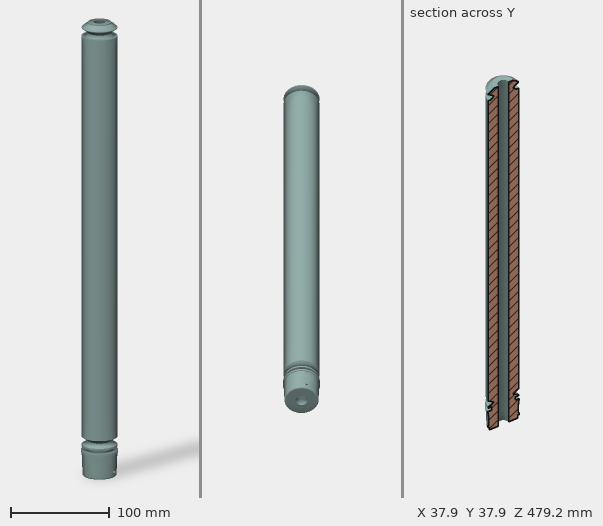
import cadquery as cq

length = 479.2
tube_radius = 18.0
tube_bottom = 41.0
tube_top = 465.0

neck_radius = 11.5
shoulder_radius = 15.1
upper_neck_z = 468.0
cap_rim_z = 473.5
rim_rounding = 1.0
cap_step_height = 1.0
cap_flat_radius = 12.0
cap_bulge_radius = 15.5
cap_bulge_z = 476.5

lower_neck_z = 37.0
collar_top = 33.0
collar_bottom = 31.0
groove_radius = 14.0

flange_radius = 18.95
flange_top = 27.5
flange_thickness = 2.5
foot_top_radius = 18.0
foot_bottom_radius = 17.3
foot_edge_fillet = 1.5
pin_diameter = 3.0
pin_z = 5.8

bore_diameter = 12.0


def turned_body():
    """Revolve the half profile of the roller about Z."""
    flange_bottom = flange_top - flange_thickness
    profile = (
        cq.Workplane("XZ")
        .moveTo(0, 0)
        .lineTo(foot_bottom_radius, 0)
        .lineTo(foot_top_radius, flange_bottom)
        .lineTo(flange_radius, flange_bottom)
        .lineTo(flange_radius, flange_top)
        .lineTo(groove_radius, flange_top)
        .lineTo(groove_radius, collar_bottom)
        .lineTo(tube_radius, collar_bottom)
        .lineTo(tube_radius, collar_top)
        .lineTo(neck_radius, lower_neck_z)
        .lineTo(tube_radius, tube_bottom)
        .lineTo(tube_radius, tube_top)
        .lineTo(shoulder_radius, tube_top)
        .lineTo(neck_radius, upper_neck_z)
        .lineTo(tube_radius - rim_rounding, cap_rim_z - rim_rounding)
        .threePointArc(
            (tube_radius, cap_rim_z),
            (tube_radius - rim_rounding, cap_rim_z + rim_rounding),
        )
        .threePointArc(
            (cap_bulge_radius, cap_bulge_z),
            (cap_flat_radius, length - cap_step_height),
        )
        .lineTo(cap_flat_radius, length)
        .lineTo(0, length)
        .close()
    )
    body = profile.revolve(360, (0, 0, 0), (0, 1, 0))
    return body.faces("<Z").edges().fillet(foot_edge_fillet)


def side_pins():
    """One pin across the foot, with both ends level with the flange."""
    return (
        cq.Workplane("YZ")
        .center(0, pin_z)
        .circle(pin_diameter / 2)
        .extrude(flange_radius, both=True)
    )


def through_bore():
    """Axial bore through the full length."""
    return cq.Workplane("XY").circle(bore_diameter / 2).extrude(length)


result = turned_body().union(side_pins()).cut(through_bore())